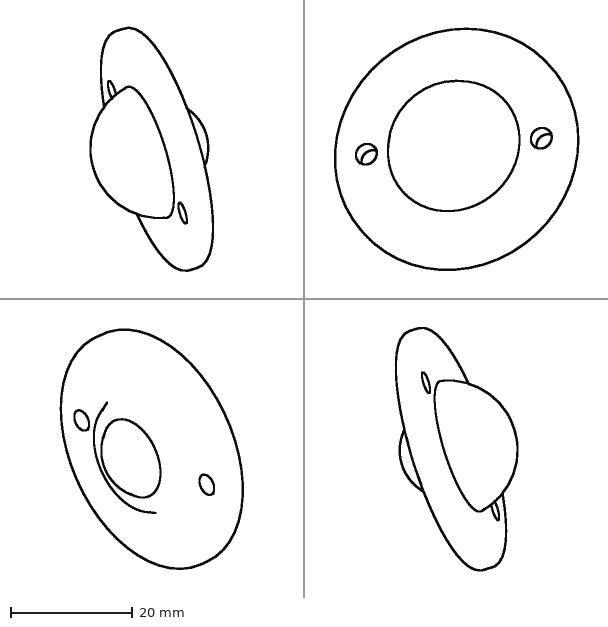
import cadquery as cq
import math

flange_diameter = 41.3
flange_thickness = 3.43
flange_edge_radius = 1.05

collar_base_radius = 10.65
collar_top_radius = 9.38
collar_height = 2.8
collar_edge_radius = 1.0
collar_root_radius = 0.5

front_dome_base_radius = 11.27
front_dome_height = 9.25
rear_dome_base_radius = 6.85
rear_dome_height = 4.0

hole_diameter = 3.55
hole_spacing = 30.0

collar_top_y = flange_thickness + collar_height


def revolve_about_y(profile):
    return profile.close().revolve(360, (0, 0), (0, 1))


def make_flange():
    disc = cq.Workplane("XZ").circle(flange_diameter / 2).extrude(-flange_thickness)
    return disc.faces("<Y or >Y").edges().fillet(flange_edge_radius)


def make_collar():
    profile = (
        cq.Workplane("XY")
        .moveTo(0, flange_thickness)
        .lineTo(collar_base_radius, flange_thickness)
        .lineTo(collar_top_radius, collar_top_y)
        .lineTo(0, collar_top_y)
    )
    collar = revolve_about_y(profile)
    return collar.faces(">Y").edges().fillet(collar_edge_radius)


def blend_collar_root(body):
    """Round the inside corner where the collar meets the flange."""
    selection_margin = 0.05
    reach = collar_base_radius + collar_root_radius
    corner_zone = cq.selectors.BoxSelector(
        (-reach, flange_thickness - selection_margin, -reach),
        (reach, flange_thickness + selection_margin, reach),
        boundingbox=True,
    )
    return body.edges(corner_zone).fillet(collar_root_radius)


def make_dome(base_y, base_radius, height, direction):
    """Spherical cap on the plane Y = base_y, rising along direction (+1 or -1) in Y."""
    sphere_radius = (base_radius**2 + height**2) / (2 * height)
    tip_y = base_y + direction * height
    centre_y = tip_y - direction * sphere_radius
    half_span = math.atan2(base_radius, direction * (base_y - centre_y)) / 2
    middle = (
        sphere_radius * math.sin(half_span),
        centre_y + direction * sphere_radius * math.cos(half_span),
    )
    profile = (
        cq.Workplane("XY")
        .moveTo(0, base_y)
        .lineTo(base_radius, base_y)
        .threePointArc(middle, (0, tip_y))
    )
    return revolve_about_y(profile)


def make_holes():
    return (
        cq.Workplane("XZ")
        .pushPoints([(side * hole_spacing / 2, 0) for side in (-1, 1)])
        .circle(hole_diameter / 2)
        .extrude(-flange_thickness)
    )


body = blend_collar_root(make_flange().union(make_collar()))
front_dome = make_dome(0, front_dome_base_radius, front_dome_height, -1)
rear_dome = make_dome(collar_top_y, rear_dome_base_radius, rear_dome_height, 1)

result = body.union(front_dome).union(rear_dome).cut(make_holes())